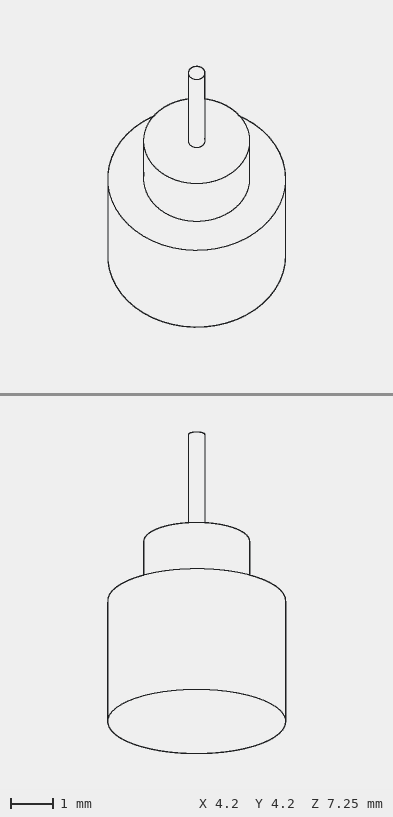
import cadquery as cq

body_diameter = 4.2
body_height = 3.05
neck_diameter = 2.5
neck_height = 1.5
pin_diameter = 0.39
total_height = 7.25

pin_height = total_height - body_height - neck_height


def cylinder(diameter, height, base_z):
    """Upright cylinder on the Z axis, standing at base_z."""
    return cq.Workplane("XY").workplane(offset=base_z).circle(diameter / 2).extrude(height)


body = cylinder(body_diameter, body_height, 0)

neck = cylinder(neck_diameter, neck_height, body_height)
pin = cylinder(pin_diameter, pin_height, body_height + neck_height)

result = body.union(neck).union(pin)